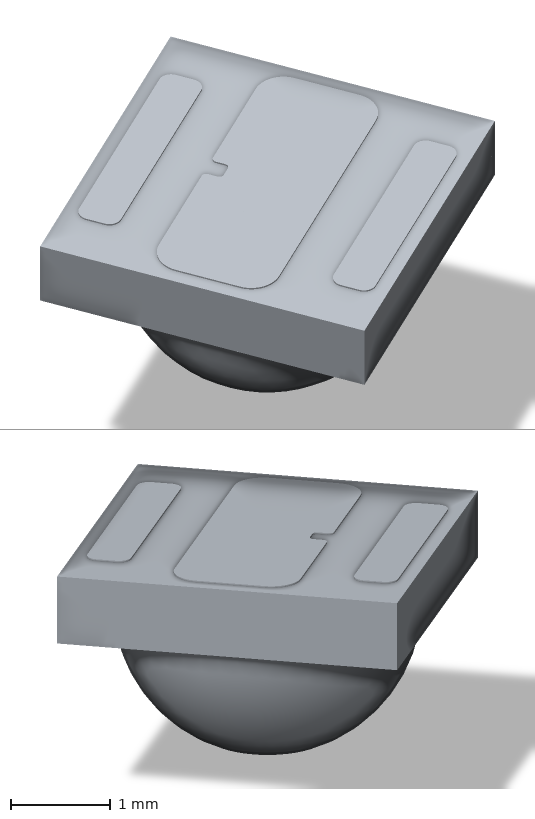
import cadquery as cq
import math

side = 3.5
total_height = 2.28

substrate_thickness = 0.4
pad_thickness = 0.018
pad_edge_margin = 0.15
side_pad_width = 0.45
side_pad_length = 2.4
side_pad_corner_radius = 0.125
center_pad_width = 1.3
center_pad_length = side - 2 * pad_edge_margin
center_pad_corner_radius = 0.3
notch_depth = 0.2
notch_width = 0.205
notch_corner_radius = 0.05

dome_radius = 1.55
root_fillet_radius = 0.1
lens_base_thickness = total_height - substrate_thickness - pad_thickness - dome_radius

side_pad_offset = side / 2 - pad_edge_margin - side_pad_width / 2


def make_pad(width, length, corner_radius):
    """Thin rounded rectangle standing on the substrate's top face."""
    return (
        cq.Workplane("XY", origin=(0, 0, substrate_thickness))
        .rect(width, length)
        .extrude(pad_thickness)
        .edges("|Z")
        .fillet(corner_radius)
    )


def make_center_pad():
    """Central pad with a round-cornered polarity notch in its -X edge."""
    pad = make_pad(center_pad_width, center_pad_length, center_pad_corner_radius)
    pad_left = -center_pad_width / 2
    notch = (
        cq.Workplane("XY", origin=(pad_left, 0, substrate_thickness))
        .rect(2 * notch_depth, notch_width)
        .extrude(pad_thickness)
    )
    notch_corners = cq.selectors.BoxSelector(
        (pad_left - notch_depth, -notch_width, substrate_thickness - pad_thickness),
        (pad_left + 2 * notch_depth, notch_width, substrate_thickness + 2 * pad_thickness),
    )
    return pad.cut(notch).edges("|Z").edges(notch_corners).fillet(notch_corner_radius)


def make_substrate():
    """Square plate carrying the central pad and a long pad on either side."""
    body = cq.Workplane("XY").rect(side, side).extrude(substrate_thickness)
    body = body.union(make_center_pad())
    for direction in (-1, 1):
        side_pad = make_pad(side_pad_width, side_pad_length, side_pad_corner_radius)
        body = body.union(side_pad.translate((direction * side_pad_offset, 0, 0)))
    return body


def make_lens():
    """Square base with a hemispherical dome below, blended by a concave root fillet."""
    base = cq.Workplane("XY").rect(side, side).extrude(-lens_base_thickness)

    center_distance = dome_radius + root_fillet_radius
    fillet_center_x = math.sqrt(center_distance**2 - root_fillet_radius**2)
    tangent_x = fillet_center_x * dome_radius / center_distance
    tangent_z = -root_fillet_radius * dome_radius / center_distance

    tangent_angle = math.pi - math.asin(root_fillet_radius / center_distance)
    fillet_mid_angle = (math.pi / 2 + tangent_angle) / 2
    fillet_mid = (
        fillet_center_x + root_fillet_radius * math.cos(fillet_mid_angle),
        -root_fillet_radius + root_fillet_radius * math.sin(fillet_mid_angle),
    )
    dome_mid = (dome_radius * math.sqrt(0.5), -dome_radius * math.sqrt(0.5))

    dome = (
        cq.Workplane("XZ", origin=(0, 0, -lens_base_thickness))
        .moveTo(0, 0)
        .lineTo(fillet_center_x, 0)
        .threePointArc(fillet_mid, (tangent_x, tangent_z))
        .threePointArc(dome_mid, (0, -dome_radius))
        .close()
        .revolve(360, (0, 0, 0), (0, 1, 0))
    )
    return base.union(dome)


substrate = make_substrate()
lens = make_lens()

result = cq.Compound.makeCompound([substrate.solids().val(), lens.solids().val()])